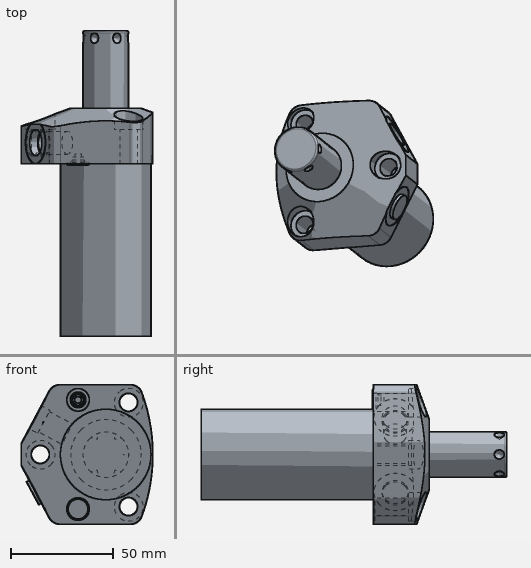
import cadquery as cq
import math

OVERALL_LENGTH = 149.0
BODY_DIAMETER = 44.2
BODY_LENGTH = 84.0
ROD_DIAMETER = 22.225
ROD_END_FILLET = 1.0

FLANGE_THICKNESS = 27.2
FLANGE_HEIGHT = 68.22
FLANGE_WIDTH = 64.29
FLANGE_LEFT = -41.275
FLANGE_RIGHT = FLANGE_LEFT + FLANGE_WIDTH
LEFT_FLAT_HALF = 5.15
SLANT_TOP_X = -25.9
RIGHT_ARC_RADIUS = 87.3
CORNER_RADIUS = 6.35

CONE_TOP_RADIUS = 17.2
CONE_ANGLE = 20.0
CONE_BASE_RADIUS = 60.0

MOUNT_HOLE_DIAMETER = 8.7
COUNTERBORE_DIAMETER = 14.0
COUNTERBORE_FLOOR_Y = 17.0
MOUNT_HOLES = [(-31.9, 0.0), (11.1, 25.4), (11.1, -25.4)]

CONTROL_X = -13.5
CONTROL_Z = 26.6
CONTROL_RADIUS = 5.5
RING_WIDTH = 1.7
RING_HEIGHT = 0.5
SOCKET_RADIUS = CONTROL_RADIUS - RING_WIDTH
SOCKET_DEPTH = 1.0
SCREW_STEPS = [(SOCKET_RADIUS, SOCKET_DEPTH), (3.0, 2.0), (2.6, 3.5), (1.65, 5.0)]
PLUG_GROOVE_WIDTH = 0.65
PLUG_GROOVE_DEPTH = 0.5

PORT_Y = 10.45
SPOTFACE_RADIUS = 10.3
SPOTFACE_DEPTH = 0.25
PORT_RADIUS = 6.35
PORT_DEPTH = 4.6
PORT_BORE_RADIUS = 5.6
PORT_BORE_DEPTH = 17.5
PORT_PLUG_HEIGHT = 1.5

DIMPLE_COUNT = 6
DIMPLE_RADIUS = 2.45
DIMPLE_ANGLE = 90.0
DIMPLE_FROM_END = 3.65

HALF_HEIGHT = FLANGE_HEIGHT / 2
ROD_RADIUS = ROD_DIAMETER / 2
ROD_END = OVERALL_LENGTH - BODY_LENGTH
AXIS = (0, 1, 0)
REVOLVE_START = (0, 0)
REVOLVE_END = (0, 1)

slant_run = SLANT_TOP_X - FLANGE_LEFT
slant_rise = HALF_HEIGHT - LEFT_FLAT_HALF
slant_length = math.hypot(slant_run, slant_rise)
normal_x = -slant_rise / slant_length
normal_z = slant_run / slant_length
slant_distance = FLANGE_LEFT * normal_x + LEFT_FLAT_HALF * normal_z


def cylinder(radius, length, start, direction):
    """Solid cylinder growing from a start point along a direction."""
    return cq.Workplane(obj=cq.Solid.makeCylinder(radius, length, cq.Vector(*start), cq.Vector(*direction)))


def axial_cylinder(radius, x, z, rear, front):
    """Cylinder parallel to Y between two Y positions."""
    return cylinder(radius, front - rear, (x, rear, z), AXIS)


def flange():
    arc_sag = RIGHT_ARC_RADIUS - math.sqrt(RIGHT_ARC_RADIUS**2 - HALF_HEIGHT**2)
    arc_end_x = FLANGE_RIGHT - arc_sag
    plate = (
        cq.Workplane("XZ")
        .moveTo(FLANGE_LEFT, LEFT_FLAT_HALF)
        .lineTo(SLANT_TOP_X, HALF_HEIGHT)
        .lineTo(arc_end_x, HALF_HEIGHT)
        .threePointArc((FLANGE_RIGHT, 0), (arc_end_x, -HALF_HEIGHT))
        .lineTo(SLANT_TOP_X, -HALF_HEIGHT)
        .lineTo(FLANGE_LEFT, -LEFT_FLAT_HALF)
        .close()
        .extrude(-FLANGE_THICKNESS)
    )
    upper_corners = plate.edges("|Y").edges(">Z or <Z")
    plate = upper_corners.fillet(CORNER_RADIUS)

    cone_drop = (CONE_BASE_RADIUS - CONE_TOP_RADIUS) * math.tan(math.radians(CONE_ANGLE))
    cone_envelope = (
        cq.Workplane("XY")
        .moveTo(0, FLANGE_THICKNESS)
        .lineTo(CONE_TOP_RADIUS, FLANGE_THICKNESS)
        .lineTo(CONE_BASE_RADIUS, FLANGE_THICKNESS - cone_drop)
        .lineTo(CONE_BASE_RADIUS, 0)
        .lineTo(0, 0)
        .close()
        .revolve(360, REVOLVE_START, REVOLVE_END)
    )
    return plate.intersect(cone_envelope)


def body_and_rod():
    """Body and rod as one turned profile."""
    body_radius = BODY_DIAMETER / 2
    return (
        cq.Workplane("XY")
        .moveTo(0, -BODY_LENGTH)
        .lineTo(body_radius, -BODY_LENGTH)
        .lineTo(body_radius, 0)
        .lineTo(ROD_RADIUS, 0)
        .lineTo(ROD_RADIUS, ROD_END)
        .lineTo(0, ROD_END)
        .close()
        .revolve(360, REVOLVE_START, REVOLVE_END)
        .edges(">Y")
        .fillet(ROD_END_FILLET)
    )


def rod_dimples():
    """Conical dimples, spaced evenly around the rod end."""
    depth = DIMPLE_RADIUS / math.tan(math.radians(DIMPLE_ANGLE / 2))
    first = (
        cq.Workplane("XY")
        .moveTo(-ROD_RADIUS - depth, 0)
        .lineTo(-ROD_RADIUS - depth, 2 * DIMPLE_RADIUS)
        .lineTo(-ROD_RADIUS + depth, 0)
        .close()
        .revolve(360, (0, 0), (1, 0))
        .translate((0, ROD_END - DIMPLE_FROM_END, 0))
    )
    dimples = first
    for index in range(1, DIMPLE_COUNT):
        dimples = dimples.union(first.rotate((0, 0, 0), AXIS, index * 360 / DIMPLE_COUNT))
    return dimples


def port_cylinder(side, radius, inner, outer):
    """Cylinder along a port axis, between two distances from the main axis."""
    direction = (normal_x, 0, side * normal_z)
    start = (inner * normal_x, PORT_Y, inner * side * normal_z)
    return cylinder(radius, outer - inner, start, direction)


def add_ports(part):
    clear = slant_distance + SPOTFACE_RADIUS
    for side in (1, -1):
        part = part.cut(port_cylinder(side, SPOTFACE_RADIUS, slant_distance - SPOTFACE_DEPTH, clear))
    part = part.cut(port_cylinder(1, PORT_RADIUS, slant_distance - PORT_DEPTH, clear))
    part = part.cut(port_cylinder(1, PORT_BORE_RADIUS, slant_distance - PORT_BORE_DEPTH, clear))
    plug = port_cylinder(-1, PORT_RADIUS, slant_distance - PORT_DEPTH, slant_distance + PORT_PLUG_HEIGHT)
    return part.union(plug)


def add_control_screw(part):
    """Rounded ring standing proud of the rear face, around a stepped bore."""
    middle = CONTROL_RADIUS - RING_WIDTH / 2
    ring = (
        cq.Workplane("XY")
        .moveTo(SOCKET_RADIUS, 0)
        .threePointArc((middle, -RING_HEIGHT), (CONTROL_RADIUS, 0))
        .lineTo(CONTROL_RADIUS, SOCKET_DEPTH)
        .lineTo(SOCKET_RADIUS, SOCKET_DEPTH)
        .close()
        .revolve(360, REVOLVE_START, REVOLVE_END)
        .translate((CONTROL_X, 0, CONTROL_Z))
    )
    part = part.union(ring)
    for radius, depth in SCREW_STEPS:
        part = part.cut(axial_cylinder(radius, CONTROL_X, CONTROL_Z, 0, depth))
    return part


def cut_plug_groove(part):
    """Shallow ring groove that outlines the flush plug in the rear face."""
    outer = axial_cylinder(CONTROL_RADIUS, CONTROL_X, -CONTROL_Z, 0, PLUG_GROOVE_DEPTH)
    inner = axial_cylinder(CONTROL_RADIUS - PLUG_GROOVE_WIDTH, CONTROL_X, -CONTROL_Z, 0, PLUG_GROOVE_DEPTH)
    return part.cut(outer.cut(inner))


part = flange()
for hole_x, hole_z in MOUNT_HOLES:
    part = part.cut(axial_cylinder(MOUNT_HOLE_DIAMETER / 2, hole_x, hole_z, 0, FLANGE_THICKNESS))
    part = part.cut(
        axial_cylinder(COUNTERBORE_DIAMETER / 2, hole_x, hole_z, COUNTERBORE_FLOOR_Y, FLANGE_THICKNESS)
    )
part = add_ports(part)
part = add_control_screw(part)
part = cut_plug_groove(part)
part = part.union(body_and_rod())
result = part.cut(rod_dimples())